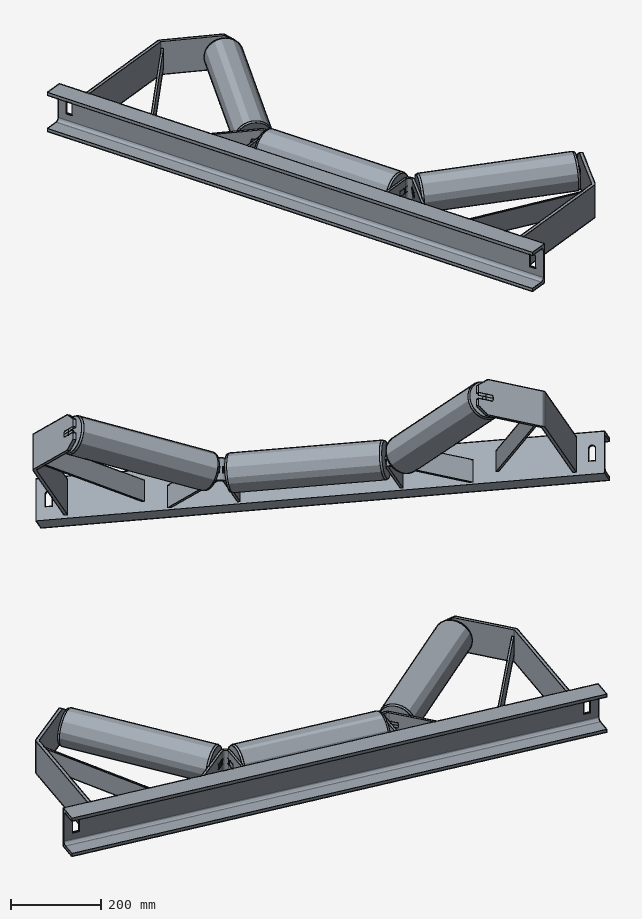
import cadquery as cq
import math


channel_length = 1300.0
channel_height = 100.0
channel_depth = 48.0
web_thickness = 5.0
flange_thickness = 8.0
root_radius = 8.0

slot_width = 16.0
slot_height = 37.0
slot_foot_z = 32.0
slot_end_distance = 29.0

shell_radius = 44.5
shell_length = 359.0
shell_chamfer_radial = 2.0
shell_chamfer_axial = 5.0
shaft_radius = 10.0
shaft_flat_width = 14.0
trough_angle = 45.0
forward_tilt = 3.0
roller_axis_z = 30.0
centre_axis_y = 166.5
side_inner_end_x = -220.3
side_inner_end_y = 184.5

inner_sheet = 6.0
inner_face_x = -183.0
inner_peak_y = 214.0
inner_bend_radius = 8.0
inner_bottom_z = 5.0
inner_top_z = 58.0

outer_sheet = 8.0
outer_face_x = -585.5
outer_bend_y = 346.5
outer_bend_radius = 3.0
arm_length = 173.0
arm_corner_length = 25.0
arm_corner_height = 18.0
outer_bottom_z = 8.0
outer_top_z = 92.0

brace_sheet = 5.0
brace_head_x = -575.0
brace_foot_x = -405.0
brace_bottom_z = 25.0
brace_top_z = 75.0

notch_reach = 60.0

lean = math.radians(trough_angle)
roller_direction = (-math.cos(lean), math.sin(lean))
arm_direction = (math.sin(lean), math.cos(lean))


def mirrored(body):
    return body.mirror("YZ")


def prism(points, bottom_z, top_z):
    """Vertical prism over an XY polygon."""
    return cq.Workplane("XY").workplane(offset=bottom_z).polyline(points).close().extrude(top_z - bottom_z)


def fillet_upright_edge(body, x, y, z, radius):
    return body.edges("|Z").edges(cq.NearestToPointSelector((x, y, z))).fillet(radius)


def make_channel():
    hollow = (
        cq.Workplane("XY")
        .box(channel_length, 2 * (channel_depth - web_thickness), channel_height - 2 * flange_thickness)
        .edges("|X and >Y").fillet(root_radius)
        .translate((0, 0, channel_height / 2))
    )
    channel = cq.Workplane("XY").box(
        channel_length, channel_depth, channel_height, centered=(True, False, False))
    channel = channel.cut(hollow)
    slot_offset = channel_length / 2 - slot_end_distance
    for x in (-slot_offset, slot_offset):
        channel = channel.cut(make_slot(x))
    return channel


def make_slot(x):
    radius = slot_width / 2
    top_z = slot_foot_z + slot_height
    return (
        cq.Workplane("XZ")
        .moveTo(x - radius, slot_foot_z)
        .lineTo(x + radius, slot_foot_z)
        .lineTo(x + radius, top_z - radius)
        .threePointArc((x, top_z), (x - radius, top_z - radius))
        .close().extrude(-channel_depth)
    )


def rounded_wedge(face_x, peak_y, radius):
    """Wedge standing on the web, with one upright side, one leaning side and a rounded peak."""
    run = (peak_y - channel_depth) * math.tan(lean)
    corners = [(face_x, channel_depth), (face_x, peak_y), (face_x - run, channel_depth)]
    return prism(corners, inner_bottom_z, inner_top_z).edges("|Z and >Y").fillet(radius)


def make_inner_bracket():
    outside = rounded_wedge(inner_face_x, inner_peak_y, inner_bend_radius + inner_sheet)
    inside_peak_y = inner_peak_y - inner_sheet / math.tan(lean / 2)
    inside = rounded_wedge(inner_face_x - inner_sheet, inside_peak_y, inner_bend_radius)
    return outside.cut(inside)


def make_outer_bracket():
    across_x, across_y = -roller_direction[0], -roller_direction[1]
    tip_x = outer_face_x + arm_length * arm_direction[0]
    tip_y = outer_bend_y + arm_length * arm_direction[1]
    inside_x = outer_face_x + outer_sheet
    inside_bend_y = outer_bend_y - outer_sheet * math.tan(lean / 2)
    bracket = prism(
        [
            (outer_face_x, channel_depth),
            (outer_face_x, outer_bend_y),
            (tip_x, tip_y),
            (tip_x + outer_sheet * across_x, tip_y + outer_sheet * across_y),
            (inside_x, inside_bend_y),
            (inside_x, channel_depth),
        ],
        outer_bottom_z, outer_top_z,
    )
    bracket = fillet_upright_edge(
        bracket, outer_face_x, outer_bend_y, outer_top_z, outer_bend_radius + outer_sheet)
    bracket = fillet_upright_edge(bracket, inside_x, inside_bend_y, outer_top_z, outer_bend_radius)

    for corner_z, drop in ((outer_bottom_z, arm_corner_height), (outer_top_z, -arm_corner_height)):
        arm_plane = cq.Plane(
            origin=(tip_x, tip_y, corner_z),
            xDir=(-arm_direction[0], -arm_direction[1], 0),
            normal=(across_x, across_y, 0),
        )
        corner = (
            cq.Workplane(arm_plane)
            .polyline([(0, 0), (arm_corner_length, 0), (0, -drop)]).close()
            .extrude(outer_sheet)
        )
        bracket = bracket.cut(corner)
    return bracket


def make_brace():
    run = brace_foot_x - brace_head_x
    rise = outer_bend_y - channel_depth
    half_width = brace_sheet / 2 * math.hypot(run, rise) / rise
    corners = [
        (brace_head_x - half_width, outer_bend_y),
        (brace_head_x + half_width, outer_bend_y),
        (brace_foot_x + half_width, channel_depth),
        (brace_foot_x - half_width, channel_depth),
    ]
    return prism(corners, brace_bottom_z, brace_top_z)


def make_shell():
    profile = [
        (-shell_length, shaft_radius),
        (-shell_length, shell_radius - shell_chamfer_radial),
        (-shell_length + shell_chamfer_axial, shell_radius),
        (-shell_chamfer_axial, shell_radius),
        (0, shell_radius - shell_chamfer_radial),
        (0, shaft_radius),
    ]
    return cq.Workplane("XY").polyline(profile).close().revolve(360, (0, 0, 0), (1, 0, 0))


def rod(start_x, end_x):
    return cq.Workplane("YZ").workplane(offset=start_x).circle(shaft_radius).extrude(end_x - start_x)


def make_shaft(start_x, end_x):
    """Round inside the shell, with two flats on each end that stands out of it."""
    flats = cq.Workplane("XY").box(
        end_x - start_x, 2 * shaft_radius, shaft_flat_width, centered=(False, True, True))
    flatted_rod = rod(start_x, end_x).intersect(flats.translate((start_x, 0, 0)))
    return flatted_rod.union(rod(-shell_length, 0))


def make_notches(start_x, end_x):
    """Openings that let a shaft drop into the sheets from +Y."""
    notches = []
    for left, right in ((start_x, -shell_length), (0, end_x)):
        opening = cq.Workplane("XY").box(
            right - left, notch_reach, shaft_flat_width, centered=(False, False, True))
        notches.append(opening.translate((left, 0, 0)))
    return notches


def place_centre(body):
    return body.translate((shell_length / 2, centre_axis_y, roller_axis_z))


def place_side(body):
    """Moves a roller part to the left side roller."""
    tilted = body.rotate((0, 0, 0), (0, 1, 0), forward_tilt)
    turned = tilted.rotate((0, 0, 0), (0, 0, 1), -trough_angle)
    return turned.translate((side_inner_end_x, side_inner_end_y, roller_axis_z))


def distance_along_roller(x, y):
    """Length along the left roller axis from the shell's inner end to the arm plane through (x, y)."""
    level = (x - side_inner_end_x) * roller_direction[0] + (y - side_inner_end_y) * roller_direction[1]
    return level / math.cos(math.radians(forward_tilt))


centre_overhang = -inner_face_x + inner_sheet - shell_length / 2
centre_span = (-shell_length - centre_overhang, centre_overhang)
side_outer_reach = distance_along_roller(outer_face_x, outer_bend_y)
side_inner_reach = inner_sheet - distance_along_roller(inner_face_x, inner_peak_y)
side_span = (-side_outer_reach, side_inner_reach)

centre_shell = place_centre(make_shell())
left_shell = place_side(make_shell())
centre_shaft = place_centre(make_shaft(*centre_span))
left_shaft = place_side(make_shaft(*side_span))

left_supports = make_inner_bracket().union(make_outer_bracket()).union(make_brace())
for notch in make_notches(*centre_span):
    left_supports = left_supports.cut(place_centre(notch))
for notch in make_notches(*side_span):
    left_supports = left_supports.cut(place_side(notch))
left_supports = left_supports.cut(centre_shaft).cut(left_shaft)
frame = make_channel().union(left_supports).union(mirrored(left_supports))

result = cq.Compound.makeCompound([
    *frame.solids().vals(),
    *centre_shell.solids().vals(),
    *left_shell.solids().vals(),
    *mirrored(left_shell).solids().vals(),
    *centre_shaft.solids().vals(),
    *left_shaft.solids().vals(),
    *mirrored(left_shaft).solids().vals(),
])